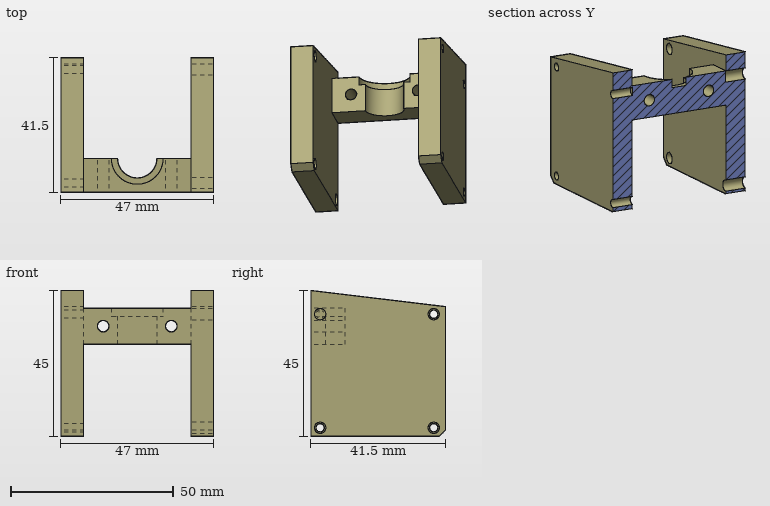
import cadquery as cq

width = 47.0
depth = 41.5
front_height = 45.0
back_height = 40.0

plate_thickness = 7.0
corner_chamfer = 2.0
plate_hole_spacing = 34.95
plate_hole_front = 2.85
plate_hole_bottom = 2.7
left_hole_diameter = 2.5
right_hole_diameter = 3.5

bar_depth = 10.5
bar_bottom = 28.4
bar_top = 39.55
bar_hole_offset = 10.5
bar_hole_diameter = 3.5

saddle_radius = 6.0
seat_radius = 8.0
seat_depth = 2.65

left_face = -width / 2
right_plate_start = width / 2 - plate_thickness
bar_length = width - 2 * plate_thickness
bar_height = bar_top - bar_bottom


def side_plate(start_x, hole_diameter):
    """Plate with a sloping top, a chamfered back corner and four holes."""
    outline = [
        (0, 0),
        (depth - corner_chamfer, 0),
        (depth, corner_chamfer),
        (depth, back_height),
        (0, front_height),
    ]
    hole_centres = [
        (plate_hole_front + i * plate_hole_spacing, plate_hole_bottom + j * plate_hole_spacing)
        for i in range(2)
        for j in range(2)
    ]
    plane = cq.Workplane("YZ", origin=(start_x, 0, 0))
    plate = plane.polyline(outline).close().extrude(plate_thickness)
    holes = plane.pushPoints(hole_centres).circle(hole_diameter / 2).extrude(plate_thickness)
    return plate.cut(holes)


def saddle_cut(radius, bottom, height):
    """Vertical cylinder centred on the back face of the crossbar."""
    return cq.Workplane("XY", origin=(0, bar_depth, bottom)).circle(radius).extrude(height)


def crossbar():
    """Bar with a stepped saddle and two holes from front to back."""
    bar = cq.Workplane("XY", origin=(0, bar_depth / 2, bar_bottom)).box(
        bar_length, bar_depth, bar_height, centered=(True, True, False)
    )
    bar = bar.cut(saddle_cut(saddle_radius, bar_bottom, bar_height))
    bar = bar.cut(saddle_cut(seat_radius, bar_top - seat_depth, seat_depth))
    holes = (
        cq.Workplane("XZ", origin=(0, 0, (bar_bottom + bar_top) / 2))
        .pushPoints([(-bar_hole_offset, 0), (bar_hole_offset, 0)])
        .circle(bar_hole_diameter / 2)
        .extrude(-bar_depth)
    )
    return bar.cut(holes)


left_plate = side_plate(left_face, left_hole_diameter)
right_plate = side_plate(right_plate_start, right_hole_diameter)
result = left_plate.union(crossbar()).union(right_plate)